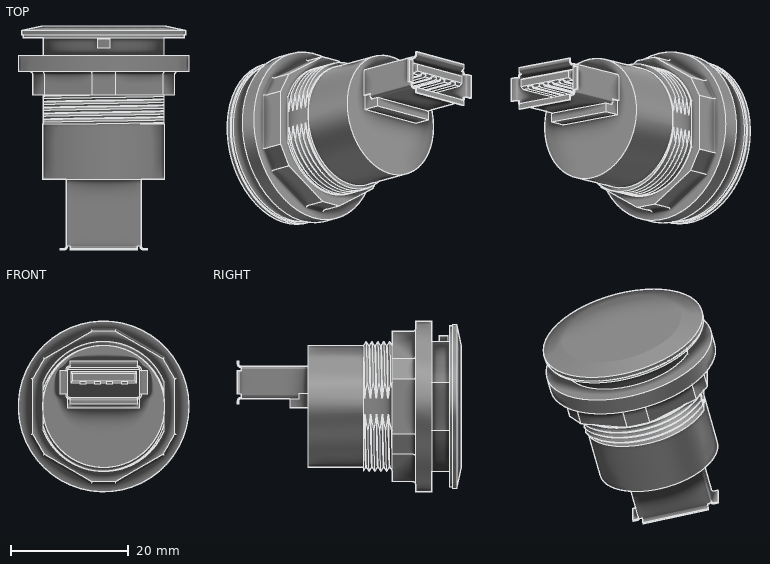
import cadquery as cq
import math


dome_top_diameter = 20.9
head_diameter = 27.9
dome_height = 0.75
head_back_depth = 1.52

gasket_diameter = 27.4
gasket_back_depth = 2.0

neck_diameter = 22.08
flat_half_width = 10.25
threaded_end_depth = 16.6
barrel_diameter = 20.7
barrel_end_depth = 26.03

lug_width = 2.15
lug_top_height = 12.0
lug_front_depth = 2.25
lug_back_depth = 3.75

flange_diameter = 29.0
flange_front_depth = 4.98
flange_back_depth = 7.75
nut_back_depth = 11.75
side_flat_half_width = 12.05
top_flat_half_height = 12.75
grip_fillet = 0.5

four_pitches = 4.0
thread_pitch = four_pitches / 4
thread_turns = 7
thread_start_depth = 10.9
ridge_base_width = 0.9
ridge_sink = 0.05
ridge_root_depth = 0.3

sheet = 0.25
shell_width = 12.75
shell_bottom = 1.3
shell_top = 6.85
shell_corner = 0.57
shell_end_depth = 37.35
overall_depth = 38.0
notch_top = 2.2
notch_end_depth = 27.55
wide_tab_width = 11.4
side_tab_height = 4.0
wide_tab_reach = 1.1
side_tab_reach = 1.33

foot_bottom = -0.23
foot_end_depth = 29.07
back_bevel = 0.35
tongue_width = 11.1
tongue_bottom = 4.0
tongue_top = 5.9
tongue_tip_width = 10.65
tongue_tip_bottom = 4.35
tongue_tip_top = 5.55
tongue_tip_depth = 37.85
tongue_bevel_length = 0.85
contact_width = 1.03
contact_height = 0.2
contact_end_depth = 37.6
contact_nose_radius = 0.4
inner_contact_x = 1.03
outer_contact_x = 3.55

shell_height = shell_top - shell_bottom
shell_middle = (shell_top + shell_bottom) / 2
cavity_width = shell_width - 2 * sheet
cavity_height = shell_height - 2 * sheet
cavity_top = shell_top - sheet


def plane_at(depth):
    """Workplane whose local axes are X and Z and whose normal points to the rear."""
    return cq.Workplane("XZ").workplane(offset=depth)


def disc(diameter, front, back):
    return plane_at(front).circle(diameter / 2).extrude(back - front)


def block(width, bottom, top, front, back, x=0):
    """Box centred on x, given by its bottom and top heights and its front and back depths."""
    outline = plane_at(front).center(x, (bottom + top) / 2).rect(width, top - bottom)
    return outline.extrude(back - front)


def flattened(body, front, back):
    """Keep the part of a body between two depths and between the flats of the neck."""
    return body.intersect(block(2 * flat_half_width, -neck_diameter, neck_diameter, front, back))


def neck(front, back):
    return flattened(disc(neck_diameter, front, back), front, back)


def make_thread():
    """Right-handed ridge with a triangular crest, rooted inside the barrel and not yet cut to length."""
    base = barrel_diameter / 2 - ridge_sink
    buried = base - ridge_root_depth
    half_width = ridge_base_width / 2
    helix = cq.Wire.makeHelix(thread_pitch, thread_pitch * thread_turns, base)
    profile = (
        cq.Workplane("XZ")
        .moveTo(buried, -half_width)
        .lineTo(base, -half_width)
        .lineTo(neck_diameter / 2, 0)
        .lineTo(base, half_width)
        .lineTo(buried, half_width)
        .close()
    )
    ridge = profile.sweep(cq.Workplane(obj=helix), isFrenet=True)
    return ridge.rotate((0, 0, 0), (1, 0, 0), 90).translate((0, -thread_start_depth, 0))


def make_housing():
    head = (
        cq.Workplane("XY")
        .lineTo(dome_top_diameter / 2, 0)
        .lineTo(head_diameter / 2, -dome_height)
        .lineTo(head_diameter / 2, -head_back_depth)
        .lineTo(0, -head_back_depth)
        .close()
        .revolve(360, (0, 0), (0, 1))
    )
    lug = block(lug_width, 0, lug_top_height, lug_front_depth, lug_back_depth)
    core = disc(barrel_diameter, flange_back_depth, barrel_end_depth)
    threaded = core.union(make_thread(), clean=False)
    threaded = flattened(threaded, nut_back_depth, threaded_end_depth)
    return (
        head.union(neck(head_back_depth, nut_back_depth))
        .union(lug)
        .union(threaded)
        .union(disc(barrel_diameter, threaded_end_depth, barrel_end_depth))
    )


def make_gasket():
    ring = disc(gasket_diameter, head_back_depth, gasket_back_depth)
    return ring.cut(neck(head_back_depth, gasket_back_depth))


def hexagon(half_flats, first_corner_angle):
    """Hexagonal prism over the length of the grip, sized by half its width across flats."""
    corner_radius = half_flats / math.cos(math.pi / 6)
    corners = [
        (
            corner_radius * math.cos(math.radians(first_corner_angle + 60 * corner)),
            corner_radius * math.sin(math.radians(first_corner_angle + 60 * corner)),
        )
        for corner in range(6)
    ]
    length = nut_back_depth - flange_back_depth
    return plane_at(flange_back_depth).polyline(corners).close().extrude(length)


def make_nut():
    flange = disc(flange_diameter, flange_front_depth, flange_back_depth)
    grip = hexagon(side_flat_half_width, 30).intersect(hexagon(top_flat_half_height, 0))
    reach = flange_diameter / 2
    grip_base = cq.selectors.BoxSelector(
        (-reach, -flange_back_depth - grip_fillet, -reach),
        (reach, -flange_back_depth + grip_fillet, reach),
    )
    nut = flange.union(grip).edges(grip_base).edges("%LINE").fillet(grip_fillet)
    return nut.cut(neck(flange_front_depth, nut_back_depth))


def make_tab(width, reach):
    """Flared tab of the bottom wall: its inner face starts at the origin and bends down."""
    length = overall_depth - shell_end_depth
    outer_bend = length - sheet
    outline = (
        cq.Workplane("YZ")
        .moveTo(0, 0)
        .radiusArc((-length, -length), -length)
        .lineTo(-length, -reach)
        .lineTo(-outer_bend, -reach)
        .lineTo(-outer_bend, -length)
        .radiusArc((0, -sheet), outer_bend)
        .close()
    )
    return outline.extrude(width / 2, both=True)


def make_shell():
    length = shell_end_depth - barrel_end_depth
    base = plane_at(barrel_end_depth).center(0, shell_middle)
    tube = base.rect(shell_width, shell_height).extrude(length).edges("|Y").fillet(shell_corner)
    bore = base.rect(cavity_width, cavity_height).extrude(length)
    bore = bore.edges("|Y").fillet(shell_corner - sheet)
    notch = block(shell_width, shell_bottom, notch_top, barrel_end_depth, notch_end_depth)
    shell = tube.cut(bore).cut(notch)

    for side in range(4):
        is_upright = side % 2 == 1
        half_span = (cavity_width if is_upright else cavity_height) / 2
        if is_upright:
            tab = make_tab(side_tab_height, side_tab_reach)
        else:
            tab = make_tab(wide_tab_width, wide_tab_reach)
        tab = tab.translate((0, -shell_end_depth, -half_span))
        tab = tab.rotate((0, 0, 0), (0, 1, 0), 90 * side)
        shell = shell.union(tab.translate((0, 0, shell_middle)))
    return shell


def make_tongue():
    bevel_depth = tongue_tip_depth - tongue_bevel_length
    bar = block(tongue_width, tongue_bottom, tongue_top, foot_end_depth, bevel_depth)
    tip_shift = (tongue_tip_bottom + tongue_tip_top - tongue_bottom - tongue_top) / 2
    tip = (
        plane_at(bevel_depth)
        .center(0, (tongue_bottom + tongue_top) / 2)
        .rect(tongue_width, tongue_top - tongue_bottom)
        .workplane(offset=tongue_bevel_length)
        .center(0, tip_shift)
        .rect(tongue_tip_width, tongue_tip_top - tongue_tip_bottom)
        .loft()
    )
    tongue = bar.union(tip)
    contact_bottom = tongue_bottom - contact_height
    contact_top = tongue_tip_bottom
    for x in (-outer_contact_x, -inner_contact_x, inner_contact_x, outer_contact_x):
        strip = block(contact_width, contact_bottom, contact_top, foot_end_depth, contact_end_depth, x)
        strip = strip.faces("<Z").edges("<Y").fillet(contact_nose_radius)
        tongue = tongue.union(strip)
    return tongue


def make_insert():
    length = foot_end_depth - barrel_end_depth
    back = (
        plane_at(barrel_end_depth)
        .center(0, shell_middle)
        .rect(cavity_width, cavity_height)
        .extrude(length)
        .edges("|Y")
        .fillet(shell_corner - sheet)
    )
    bevel = (
        cq.Workplane("YZ")
        .moveTo(-foot_end_depth, cavity_top)
        .line(0, -back_bevel)
        .line(back_bevel, back_bevel)
        .close()
        .extrude(cavity_width / 2, both=True)
    )
    back = back.cut(bevel)
    foot = block(cavity_width, foot_bottom, shell_bottom, barrel_end_depth, foot_end_depth)
    heel = block(cavity_width, foot_bottom, notch_top, barrel_end_depth, notch_end_depth)
    return back.union(foot).union(heel).union(make_tongue())


housing = make_housing()
gasket = make_gasket()
nut = make_nut()
usb_shell = make_shell()
usb_insert = make_insert()

bodies = [housing, gasket, nut, usb_shell, usb_insert]
result = cq.Compound.makeCompound([body.solids().val() for body in bodies])